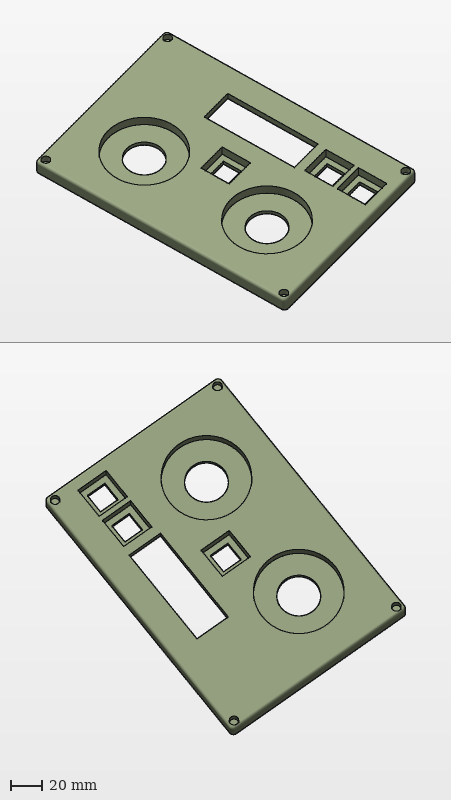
import cadquery as cq

panel_length = 200.0
panel_width = 140.0
panel_height = 10.0
corner_radius = 3.0
top_edge_fillet = 2.0

floor_thickness = 3.0
recess_depth = panel_height - floor_thickness

screw_hole_diameter = 6.1
screw_hole_depth = 5.0
screw_hole_inset = 5.0

dial_recess_diameter = 58.0
dial_hole_diameter = 28.0
dial_offset_x = 49.0
dial_center_y = -21.5

window_length = 72.0
window_width = 25.0
window_center = (0.2, 37.5)
window_wall_height = 5.0
display_pocket_margin = 5.5

button_recess_size = 22.5
button_hole_size = 14.0
mode_button_center = (0.0, 0.0)
minus_button_center = (54.3, 38.0)
button_pitch = 26.0
plus_button_center = (minus_button_center[0] + button_pitch, minus_button_center[1])
button_centers = [mode_button_center, minus_button_center, plus_button_center]


def make_panel():
    """Plate with rounded vertical corners and a rounded top rim."""
    plate = cq.Workplane("XY").box(
        panel_length, panel_width, panel_height, centered=(True, True, False)
    )
    plate = plate.edges("|Z").fillet(corner_radius)
    return plate.faces(">Z").edges().fillet(top_edge_fillet)


def top_plane():
    """Sketch plane on the top of the panel, centred on the origin."""
    return cq.Workplane("XY").workplane(offset=panel_height)


def cut_screw_holes(body):
    """Blind hole in each corner, opened from the top."""
    spacing_x = panel_length - 2 * screw_hole_inset
    spacing_y = panel_width - 2 * screw_hole_inset
    holes = top_plane().rect(spacing_x, spacing_y, forConstruction=True).vertices()
    return body.cut(holes.circle(screw_hole_diameter / 2).extrude(-screw_hole_depth))


def cut_dials(body):
    """Round recesses, each with a smaller hole through its floor."""
    centers = [(-dial_offset_x, dial_center_y), (dial_offset_x, dial_center_y)]
    sites = top_plane().pushPoints(centers)
    recesses = sites.circle(dial_recess_diameter / 2).extrude(-recess_depth)
    holes = sites.circle(dial_hole_diameter / 2).extrude(-panel_height)
    return body.cut(recesses).cut(holes)


def cut_window(body):
    """Rectangular display opening that widens into a pocket on the underside."""
    window = top_plane().center(*window_center).rect(window_length, window_width)
    pocket_length = window_length + 2 * display_pocket_margin
    pocket_width = window_width + 2 * display_pocket_margin
    pocket_depth = panel_height - window_wall_height
    pocket = cq.Workplane("XY").center(*window_center).rect(pocket_length, pocket_width)
    return body.cut(window.extrude(-panel_height)).cut(pocket.extrude(pocket_depth))


def cut_buttons(body):
    """Square recesses, each with a smaller square hole through its floor."""
    sites = top_plane().pushPoints(button_centers)
    recesses = sites.rect(button_recess_size, button_recess_size).extrude(-recess_depth)
    holes = sites.rect(button_hole_size, button_hole_size).extrude(-panel_height)
    return body.cut(recesses).cut(holes)


result = make_panel()
result = cut_screw_holes(result)
result = cut_dials(result)
result = cut_window(result)
result = cut_buttons(result)